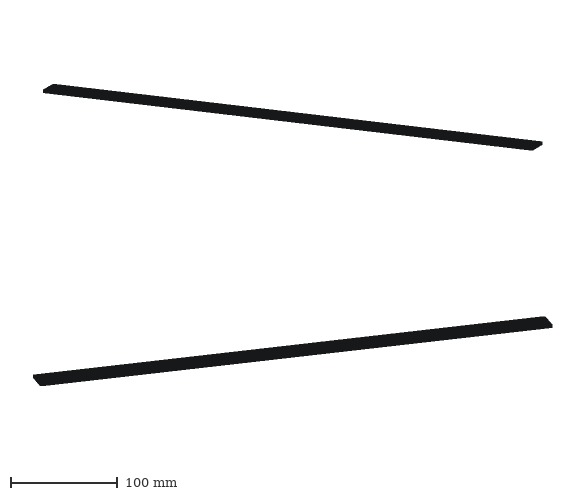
import cadquery as cq

strip_length = 500.0
strip_width = 21.8
strip_thickness = 1.5

groove_count = 5
groove_pitch = 4.5
groove_width = 2.4
groove_depth = 0.1


def make_strip():
    """Plain strip centred on X and Y, with its underside at Z = 0."""
    return cq.Workplane("XY").box(
        strip_length, strip_width, strip_thickness, centered=(True, True, False)
    )


def make_grooves():
    """Evenly spaced groove volumes, centred across the strip and open at its top face."""
    return (
        cq.Workplane("XY")
        .workplane(offset=strip_thickness)
        .rarray(strip_length, groove_pitch, 1, groove_count)
        .rect(strip_length, groove_width)
        .extrude(-groove_depth)
    )


result = make_strip().cut(make_grooves())